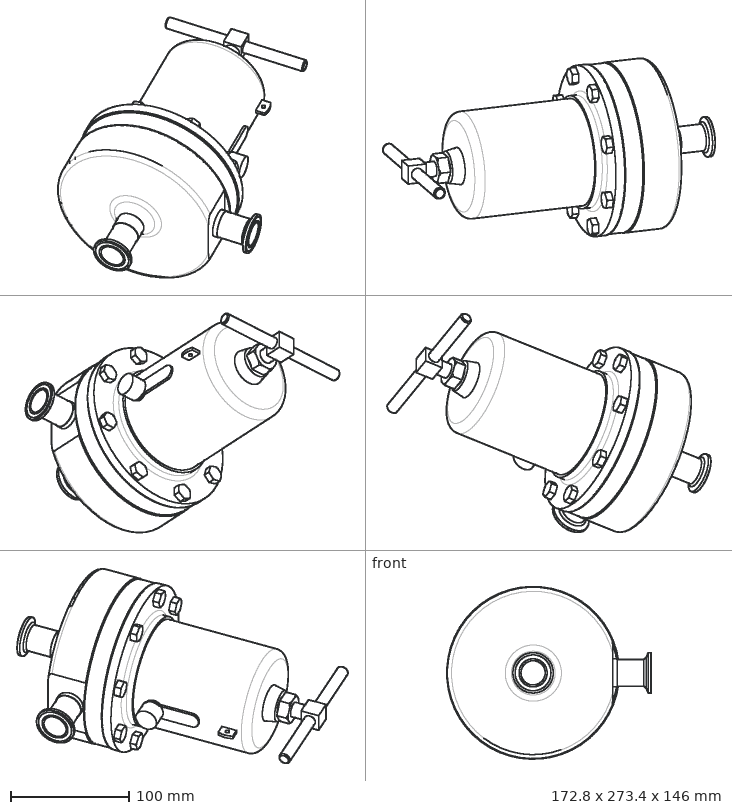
import cadquery as cq


TUBE_DIA = 23.0
STUB_DIA = 23.8
BORE_DIA = 20.5
FERRULE_DIA = 34.2
FERRULE_RIM = 2.5
FERRULE_HUB_DIA = 26.5
FERRULE_SHOULDER = 4.0
FERRULE_NECK = 6.0
GROOVE_MEAN_DIA = 27.0
GROOVE_WIDTH = 3.3
GROOVE_DEPTH = 1.0
INLET_STUB_START = 28.5
INLET_STUB_END = 40.2
OUTLET_FACE_X = 99.8
OUTLET_LENGTH_TO_STUB = 28.5
OUTLET_HEIGHT = 70.3

BODY_DIA = 145.5
BODY_BOTTOM = 49.7
BODY_TOP = 84.5
BODY_FILLET = 3.5
BODY_FLAT_X = 67.2
NECK_BASE_DIA = 41.3
NECK_FILLET = 7.0
SELECT_MARGIN = 0.3

RING_DIA = 144.5
RING_BOTTOM = 85.3
RING_TOP = 101.1
FLANGE_DIA = 146.0
FLANGE_BOTTOM = 102.0
FLANGE_TOP = 110.2
JOINT_DIA = 143.2

COLLAR_DIA = 96.2
COLLAR_TOP = 119.2
COLLAR_FLARE = 3.3
BONNET_DIA = 91.5
BONNET_TOP = 225.0
BONNET_FILLET = 6.8
BOSS_BASE_DIA = 31.7
BOSS_TOP_DIA = 27.3
BOSS_TOP = 235.4
WASHER_DIA = 17.2

NUT_BOTTOM = 237.0
NUT_TOP = 246.8
NUT_CORNER_DIA = 26.0
NUT_CHAMFER = 1.5
STEM_DIA = 12.8
HANDLE_TOP = 273.4
HANDLE_BLOCK = 16.0
HANDLE_LENGTH = 127.0
HANDLE_DIA = 10.0
HANDLE_CHAMFER = 1.0

BOLT_COUNT = 8
BOLT_CIRCLE_DIA = 128.5
BOLT_CORNER_DIA = 15.0
BOLT_HEAD_HEIGHT = 5.7
BOLT_CHAMFER = 0.5

LUG_BOTTOM = 200.6
LUG_TOP = 214.0
LUG_END_X = 55.2
LUG_THICKNESS = 2.7
LUG_END_RISE = 1.5
LUG_HOLE_DIA = 3.3
LUG_HOLE_X = 50.0
PAD_TOP = 180.0
PAD_FACE_X = 47.5
PAD_WIDTH = 13.0
PORT_DIA = 19.0
PORT_SEAT_DIA = 17.5
PORT_HEIGHT = 137.8
PORT_END_X = 61.8


def cylinder_y(diameter, bottom, top):
    """Cylinder on the main axis between two heights."""
    base = cq.Workplane("XZ", origin=(0, bottom, 0))
    return base.circle(diameter / 2).extrude(bottom - top)


def cylinder_x(diameter, start, end, height):
    """Cylinder along X at a given height."""
    base = cq.Workplane("YZ", origin=(start, height, 0))
    return base.circle(diameter / 2).extrude(end - start)


def revolve_y(profile):
    """Full turn of an XY profile about the main axis."""
    return profile.close().revolve(360, (0, 0, 0), (0, 1, 0))


def hex_prism(corner_dia, bottom, top, chamfer):
    """Hexagon on the main axis, corners on +X and -X, turned round at its top."""
    height = top - bottom
    prism = cq.Workplane("XZ", origin=(0, bottom, 0)).polygon(6, corner_dia).extrude(-height)
    envelope = cylinder_y(corner_dia, bottom, top).faces(">Y").chamfer(chamfer)
    return prism.intersect(envelope)


def ferrule(tube_length):
    """Solid ferrule and tube, face at Y = 0, with a round gasket groove in the face."""
    rim_radius = FERRULE_DIA / 2
    hub_radius = FERRULE_HUB_DIA / 2
    groove_inner = (GROOVE_MEAN_DIA - GROOVE_WIDTH) / 2
    groove_outer = (GROOVE_MEAN_DIA + GROOVE_WIDTH) / 2
    profile = (
        cq.Workplane("XY")
        .lineTo(groove_inner, 0)
        .threePointArc((GROOVE_MEAN_DIA / 2, GROOVE_DEPTH), (groove_outer, 0))
        .lineTo(rim_radius, 0)
        .lineTo(rim_radius, FERRULE_RIM)
        .lineTo(hub_radius, FERRULE_SHOULDER)
        .lineTo(TUBE_DIA / 2, FERRULE_NECK)
        .lineTo(TUBE_DIA / 2, tube_length)
        .lineTo(0, tube_length)
    )
    return revolve_y(profile)


def inlet():
    """Ferrule, stub and cone up to the body's lower face."""
    stub_radius = STUB_DIA / 2
    neck = (
        cq.Workplane("XY")
        .moveTo(0, INLET_STUB_START)
        .lineTo(stub_radius, INLET_STUB_START)
        .lineTo(stub_radius, INLET_STUB_END)
        .lineTo(NECK_BASE_DIA / 2, BODY_BOTTOM)
        .lineTo(0, BODY_BOTTOM)
    )
    return ferrule(INLET_STUB_START).union(revolve_y(neck))


def outlet():
    """Ferrule and stub along X, standing on the flat of the body."""
    stub_end = OUTLET_FACE_X - OUTLET_LENGTH_TO_STUB
    tube = ferrule(OUTLET_LENGTH_TO_STUB).rotate((0, 0, 0), (0, 0, 1), 90)
    tube = tube.translate((OUTLET_FACE_X, OUTLET_HEIGHT, 0))
    return tube.union(cylinder_x(STUB_DIA, BODY_FLAT_X, stub_end, OUTLET_HEIGHT))


def lower_body():
    """Round body cut by the outlet flat, with the inlet neck blended into its lower face."""
    body = cylinder_y(BODY_DIA, BODY_BOTTOM, BODY_TOP).faces("<Y").edges().fillet(BODY_FILLET)
    beyond_flat = cq.Workplane("XY").box(BODY_DIA, 2 * BODY_TOP, BODY_DIA)
    body = body.cut(beyond_flat.translate((BODY_FLAT_X + BODY_DIA / 2, BODY_TOP, 0)))
    body = body.union(inlet())
    neck_base = cq.selectors.BoxSelector(
        (-NECK_BASE_DIA, BODY_BOTTOM - SELECT_MARGIN, -NECK_BASE_DIA),
        (NECK_BASE_DIA, BODY_BOTTOM + SELECT_MARGIN, NECK_BASE_DIA),
        boundingbox=True,
    )
    return body.edges(neck_base).fillet(NECK_FILLET)


def flange_stack():
    """Ring and flange on a slightly narrower core, which leaves the joint grooves."""
    stack = cylinder_y(JOINT_DIA, BODY_TOP, FLANGE_BOTTOM)
    stack = stack.union(cylinder_y(RING_DIA, RING_BOTTOM, RING_TOP))
    return stack.union(cylinder_y(FLANGE_DIA, FLANGE_BOTTOM, FLANGE_TOP))


def bonnet():
    """Collar with flared foot, domed-edge cylinder, tapered boss and washer."""
    collar_radius = COLLAR_DIA / 2
    collar = (
        cq.Workplane("XY")
        .moveTo(0, FLANGE_TOP)
        .lineTo(collar_radius + COLLAR_FLARE, FLANGE_TOP)
        .radiusArc((collar_radius, FLANGE_TOP + COLLAR_FLARE), COLLAR_FLARE)
        .lineTo(collar_radius, COLLAR_TOP)
        .lineTo(0, COLLAR_TOP)
    )
    barrel = cylinder_y(BONNET_DIA, COLLAR_TOP, BONNET_TOP).faces(">Y").edges().fillet(BONNET_FILLET)
    boss = (
        cq.Workplane("XY")
        .moveTo(0, BONNET_TOP)
        .lineTo(BOSS_BASE_DIA / 2, BONNET_TOP)
        .lineTo(BOSS_TOP_DIA / 2, BOSS_TOP)
        .lineTo(0, BOSS_TOP)
    )
    washer = cylinder_y(WASHER_DIA, BOSS_TOP, NUT_BOTTOM)
    return revolve_y(collar).union(barrel).union(revolve_y(boss)).union(washer)


def handle():
    """Lock nut, stem, square block and cross bar."""
    block_centre = HANDLE_TOP - HANDLE_BLOCK / 2
    nut = hex_prism(NUT_CORNER_DIA, NUT_BOTTOM, NUT_TOP, NUT_CHAMFER)
    stem = cylinder_y(STEM_DIA, NUT_TOP, block_centre)
    block = cq.Workplane("XY").box(HANDLE_BLOCK, HANDLE_BLOCK, HANDLE_BLOCK)
    block = block.translate((0, block_centre, 0))
    bar = cylinder_x(HANDLE_DIA, -HANDLE_LENGTH / 2, HANDLE_LENGTH / 2, block_centre)
    bar = bar.faces("<X or >X").chamfer(HANDLE_CHAMFER)
    return nut.union(stem).union(block).union(bar)


def bolt_heads():
    """Ring of bolt heads; the pattern and each hexagon are turned by half a pitch."""
    pitch = 360 / BOLT_COUNT
    head = hex_prism(BOLT_CORNER_DIA, FLANGE_TOP, FLANGE_TOP + BOLT_HEAD_HEIGHT, BOLT_CHAMFER)
    first = head.rotate((0, 0, 0), (0, 1, 0), -pitch / 2).translate((BOLT_CIRCLE_DIA / 2, 0, 0))
    heads = cq.Workplane("XY")
    for index in range(BOLT_COUNT):
        heads = heads.add(first.rotate((0, 0, 0), (0, 1, 0), -(index + 0.5) * pitch))
    return heads.combine()


def lug():
    """Flat tab with a bowed end and a small hole."""
    centre = (LUG_TOP + LUG_BOTTOM) / 2
    corner_x = LUG_END_X - LUG_END_RISE
    outline = (
        cq.Workplane("XY", origin=(0, 0, -LUG_THICKNESS / 2))
        .moveTo(0, LUG_BOTTOM)
        .lineTo(corner_x, LUG_BOTTOM)
        .threePointArc((LUG_END_X, centre), (corner_x, LUG_TOP))
        .lineTo(0, LUG_TOP)
        .close()
    )
    hole = cq.Workplane("XY").center(LUG_HOLE_X, centre).circle(LUG_HOLE_DIA / 2)
    return outline.extrude(LUG_THICKNESS).cut(hole.extrude(LUG_THICKNESS, both=True))


def port():
    """Plain round port on a seat, with a round-ended pad running up the bonnet from it."""
    pad_end = PAD_TOP - PAD_WIDTH / 2
    pad_length = pad_end - PORT_HEIGHT
    pad = cq.Workplane("XY").box(PAD_FACE_X, pad_length, PAD_WIDTH)
    pad = pad.translate((PAD_FACE_X / 2, (pad_end + PORT_HEIGHT) / 2, 0))
    pad = pad.union(cylinder_x(PAD_WIDTH, 0, PAD_FACE_X, pad_end))
    seat = cylinder_x(PORT_SEAT_DIA, 0, PAD_FACE_X, PORT_HEIGHT)
    return pad.union(seat).union(cylinder_x(PORT_DIA, PAD_FACE_X, PORT_END_X, PORT_HEIGHT))


def flow_passage():
    """Inlet and outlet bores that meet at the outlet's height."""
    inlet_bore = cylinder_y(BORE_DIA, 0, OUTLET_HEIGHT + BORE_DIA / 2)
    return inlet_bore.union(cylinder_x(BORE_DIA, 0, OUTLET_FACE_X, OUTLET_HEIGHT))


result = (
    lower_body()
    .union(outlet())
    .union(flange_stack())
    .union(bonnet())
    .union(handle())
    .union(bolt_heads())
    .union(lug())
    .union(port())
    .cut(flow_passage())
)